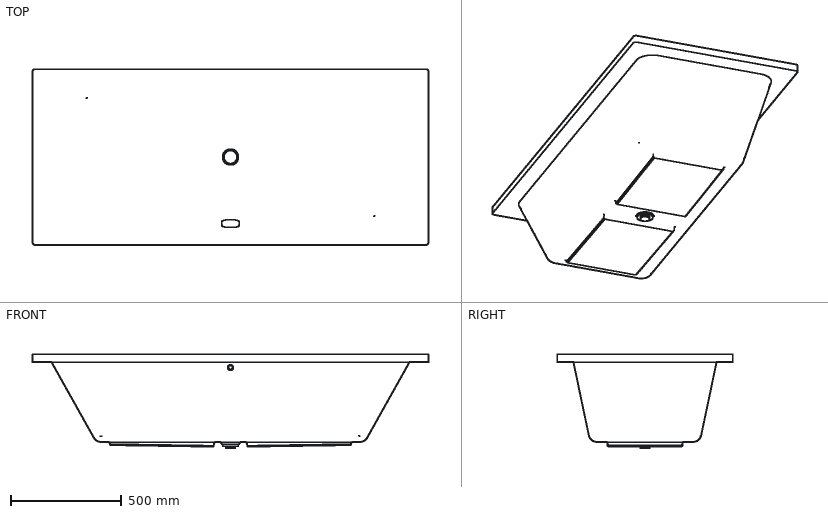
import cadquery as cq
import math


rim_length = 1800.0
rim_width = 800.0
rim_height = 36.0
rim_corner_radius = 13.0
rim_edge_radius = 5.0

wall_thickness = 9.0
basin_depth = 400.0
end_wall_slope = 0.56
side_wall_slope = 0.21
mouth_length = 1647.0
mouth_width = 648.0
mouth_corner_radius = 72.0
floor_corner_radius = 40.0
floor_fillet_radius = 30.0
lip_radius = 10.0

floor_z = wall_thickness - basin_depth
side_wall_angle = math.degrees(math.atan(side_wall_slope))

pad_outer_x = 550.0
pad_inner_x = 72.0
pad_width = 342.0
pad_outer_height = 15.0
pad_inner_height = 22.0
pad_end_draft = 5.0
pad_chamfer = 5.0

root_radius = 4.0

sump_top_diameter = 94.0
sump_bottom_diameter = 75.0
sump_height = 10.0
waste_diameter = 72.0
waste_bottom_depth = 420.0
tail_diameter = 43.0
overall_height = 427.0
plug_diameter = 60.0
plug_thickness = 7.0
plug_dome_height = 4.0

overflow_depth = 60.0
cap_diameter = 80.0
cap_thickness = 20.0
cap_edge_radius = 2.0
overflow_pipe_diameter = 25.0
overflow_bore_diameter = 20.0
overflow_bore_depth = 7.0


def basin_section(z, wall_offset, corner_radius):
    """Rounded rectangle of the basin at height z, grown outward from the inner wall."""
    half_length = mouth_length / 2 + end_wall_slope * z + wall_offset * math.hypot(1, end_wall_slope)
    half_width = mouth_width / 2 + side_wall_slope * z + wall_offset * math.hypot(1, side_wall_slope)
    sketch = cq.Sketch().rect(2 * half_length, 2 * half_width).vertices().fillet(corner_radius)
    return sketch.moved(cq.Location(cq.Vector(0, 0, z)))


def basin_block(bottom_z, wall_offset):
    """Solid tapered block with rounded corners and a rounded bottom edge."""
    top = basin_section(0, wall_offset, mouth_corner_radius + wall_offset)
    bottom = basin_section(bottom_z, wall_offset, floor_corner_radius + wall_offset)
    block = cq.Workplane("XY").placeSketch(top, bottom).loft(ruled=True)
    return block.faces("<Z").edges().fillet(floor_fillet_radius + wall_offset)


def make_rim():
    rim = cq.Workplane("XY").rect(rim_length, rim_width).extrude(-rim_height)
    rim = rim.edges("|Z").fillet(rim_corner_radius)
    return rim.faces(">Z").edges().fillet(rim_edge_radius)


def make_pad(side):
    """Pad that thickens toward the waste; side is -1 for the -X pad and 1 for the +X pad."""
    outline = [
        (side * pad_outer_x, -basin_depth),
        (side * (pad_outer_x - pad_end_draft), -basin_depth - pad_outer_height),
        (side * (pad_inner_x + pad_end_draft), -basin_depth - pad_inner_height),
        (side * pad_inner_x, -basin_depth),
    ]
    pad = cq.Workplane("XZ").polyline(outline).close().extrude(pad_width / 2, both=True)
    long_bottom_edges = pad.faces("<Z").edges(">Y or <Y")
    return long_bottom_edges.chamfer(pad_chamfer)


def make_sump():
    sump = cq.Workplane("XY", origin=(0, 0, -basin_depth)).circle(sump_top_diameter / 2)
    sump = sump.workplane(offset=-sump_height).circle(sump_bottom_diameter / 2)
    return sump.loft()


def waste_cylinder():
    waste = cq.Workplane("XY", origin=(0, 0, floor_z)).circle(waste_diameter / 2)
    return waste.extrude(-waste_bottom_depth - floor_z)


def on_overflow_axis(body):
    """Move a body built along +Z so that it stands on the inside of the -Y wall."""
    wall_y = -mouth_width / 2 + side_wall_slope * overflow_depth
    return body.rotate((0, 0, 0), (1, 0, 0), side_wall_angle - 90).translate((0, wall_y, -overflow_depth))


def overflow_pipe():
    """Pipe from the inside of the wall to its outer face."""
    return on_overflow_axis(cq.Workplane("XY").circle(overflow_pipe_diameter / 2).extrude(-wall_thickness))


def underside_root_edges():
    """Selects the edges where the pads and the sump meet the underside of the floor."""
    margin = 2.0
    corner = cq.Vector(pad_outer_x + margin, pad_width / 2 + margin, margin)
    centre = cq.Vector(0, 0, -basin_depth)
    return cq.selectors.BoxSelector((centre - corner).toTuple(), (centre + corner).toTuple())


def make_tub():
    tub = make_rim().union(basin_block(-basin_depth, wall_thickness))
    for side in (-1, 1):
        tub = tub.union(make_pad(side))
    tub = tub.union(make_sump())
    tub = tub.edges(underside_root_edges()).fillet(root_radius)
    tub = tub.cut(basin_block(floor_z, 0))
    mouth_edges = tub.faces(">Z").wires().item(1).edges()
    tub = mouth_edges.fillet(lip_radius)
    return tub.cut(waste_cylinder()).cut(overflow_pipe())


def make_plug():
    """Round plug with a domed top, its rim level with the floor."""
    radius = plug_diameter / 2
    sphere_radius = (radius**2 + plug_dome_height**2) / (2 * plug_dome_height)
    half_arc = math.asin(radius / sphere_radius) / 2
    arc_middle = (
        sphere_radius * math.sin(half_arc),
        plug_dome_height - sphere_radius * (1 - math.cos(half_arc)),
    )
    profile = (
        cq.Workplane("XZ", origin=(0, 0, floor_z))
        .moveTo(0, -plug_thickness)
        .lineTo(radius, -plug_thickness)
        .lineTo(radius, 0)
        .threePointArc(arc_middle, (0, plug_dome_height))
        .close()
    )
    return profile.revolve(360, (0, 0), (0, 1))


def make_waste(plug):
    tail = cq.Workplane("XY", origin=(0, 0, -overall_height)).circle(tail_diameter / 2)
    tail = tail.extrude(overall_height - waste_bottom_depth)
    return waste_cylinder().union(tail).cut(plug)


def make_overflow():
    cap = cq.Workplane("XY").circle(cap_diameter / 2).extrude(cap_thickness)
    cap = on_overflow_axis(cap.faces(">Z").edges().fillet(cap_edge_radius))
    bore = cq.Workplane("XY", origin=(0, 0, -wall_thickness)).circle(overflow_bore_diameter / 2)
    bore = on_overflow_axis(bore.extrude(overflow_bore_depth))
    return cap.union(overflow_pipe()).cut(bore)


tub = make_tub()
plug = make_plug()
waste = make_waste(plug)
overflow = make_overflow()

result = cq.Compound.makeCompound([tub.val(), waste.val(), plug.val(), overflow.val()])